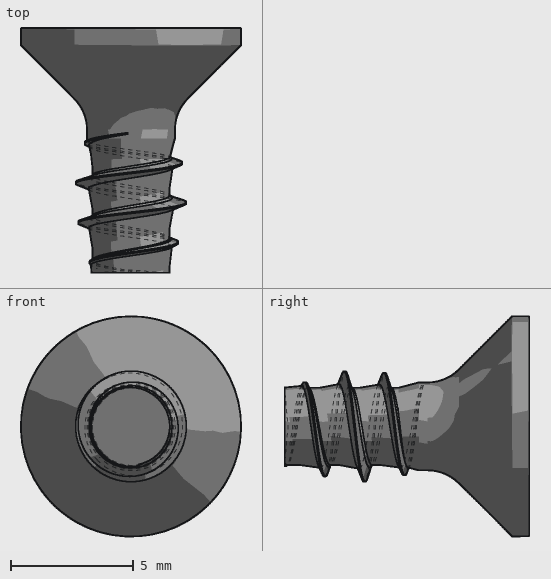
import cadquery as cq
import math


length = 10.0
head_radius = 4.5
rim_depth = 0.71
rim_fillet = 0.06
neck_radius = 1.8
neck_fillet = 1.8
neck_end = 4.52
neck_taper_end = 5.35
cone_angle = math.radians(45)

core_radius = 1.58
dish_radius = 1.48
dish_depth = 0.13

pitch = 1.63
first_crest = 3.88
turns = 3.9
segment_count = 8
steps_per_segment = 8
crest_radius = 2.26
crest_half_width = 0.03
shoulder_radius = 1.73
root_radius = 1.56
head_flank_foot = -0.32
head_flank_bend = -0.2
tip_flank_foot = 0.23
shoulder_end = 1.15
bend_share = 0.15
thinnest_flank = 0.3

run_in_start = 4.1
run_in_share = 0.25
full_thread_start = 6.2
full_thread_end = 7.6
run_out_end = 9.8
run_out_share = 0.08


def make_body():
    """Head, filleted neck and core turned from one profile."""
    cone_end = rim_depth + (head_radius - neck_radius) / math.tan(cone_angle)
    tangent_length = neck_fillet * math.tan(cone_angle / 2)
    fillet_end = cone_end + tangent_length
    fillet_center_radius = neck_radius + neck_fillet

    def fillet_point(angle):
        return (
            fillet_center_radius - neck_fillet * math.cos(angle),
            fillet_end - neck_fillet * math.sin(angle),
        )

    body = (
        cq.Workplane("YZ")
        .moveTo(0, 0)
        .lineTo(head_radius, 0)
        .lineTo(head_radius, rim_depth)
        .lineTo(*fillet_point(cone_angle))
        .threePointArc(fillet_point(cone_angle / 2), fillet_point(0))
        .lineTo(neck_radius, neck_end)
        .lineTo(core_radius, neck_taper_end)
        .lineTo(core_radius, length)
        .lineTo(dish_radius, length)
        .lineTo(0, length - dish_depth)
        .close()
        .revolve(360, (0, 0, 0), (0, 1, 0))
    )
    rim_edges = cq.selectors.BoxSelector(
        (-2 * head_radius, -2 * head_radius, -0.1),
        (2 * head_radius, 2 * head_radius, rim_depth + 0.1),
    )
    return body.edges(rim_edges).edges("%CIRCLE").fillet(rim_fillet)


def height_share(depth):
    """Crest height at a depth, as a share of the full height."""
    rise = (depth - run_in_start) / (full_thread_start - run_in_start)
    fall = (run_out_end - depth) / (run_out_end - full_thread_end)
    run_in = run_in_share + (1 - run_in_share) * min(max(rise, 0), 1)
    run_out = run_out_share + (1 - run_out_share) * min(max(fall, 0), 1)
    return min(run_in, run_out)


def thread_section(turn):
    """Corners of the thread's cross-section after a number of turns."""
    depth = first_crest + pitch * turn
    share = height_share(depth)
    crest_height = (crest_radius - core_radius) * share
    flank_scale = thinnest_flank + (1 - thinnest_flank) * share
    shoulder_height = (shoulder_radius - core_radius) * flank_scale
    outline = [
        (root_radius, head_flank_foot * flank_scale),
        (core_radius + bend_share * crest_height, head_flank_bend * flank_scale),
        (core_radius + crest_height, -crest_half_width),
        (core_radius + crest_height, crest_half_width),
        (core_radius + shoulder_height, tip_flank_foot * flank_scale),
        (root_radius, shoulder_end),
    ]
    angle = 2 * math.pi * turn
    return [
        cq.Vector(radius * math.cos(angle), radius * math.sin(angle), depth + offset)
        for radius, offset in outline
    ]


def make_thread_segment(index):
    """Part-turn of thread: ruled faces between the helices of the section's corners."""
    sections = [
        thread_section((index + step / steps_per_segment) * turns / segment_count)
        for step in range(steps_per_segment + 1)
    ]
    helices = [cq.Edge.makeSpline(list(corners)) for corners in zip(*sections)]
    faces = [
        cq.Face.makeRuledSurface(helix, next_helix)
        for helix, next_helix in zip(helices, helices[1:] + helices[:1])
    ]
    for section in (sections[0], sections[-1]):
        faces.append(cq.Face.makeFromWires(cq.Wire.makePolygon(section, close=True)))
    return cq.Workplane(obj=cq.Solid.makeSolid(cq.Shell.makeShell(faces)))


screw = make_body()
for segment in range(segment_count):
    screw = screw.union(make_thread_segment(segment))
beyond_tip = (
    cq.Workplane("XY")
    .workplane(offset=length)
    .circle(head_radius)
    .extrude(pitch * 2)
)
screw = screw.cut(beyond_tip)
result = screw.rotate((0, 0, 0), (1, 0, 0), 90)